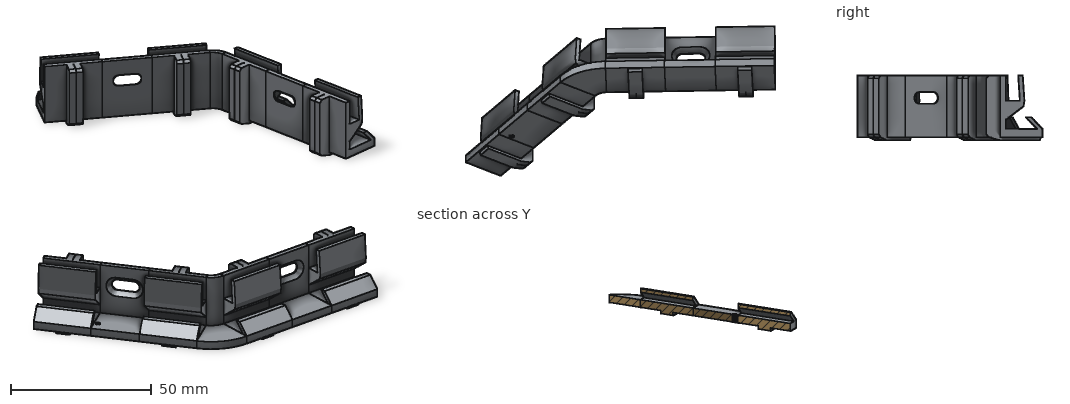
import cadquery as cq
import math


TURN_ANGLE = 54.28
BODY_DEPTH = 15.0
BODY_HEIGHT = 22.0
WALL = 2.0
FLOOR = 3.0
BEND_RADIUS = 5.0
CLIP_LENGTH = 21.0
PLATE_LENGTH = 18.0
PLATE_START = CLIP_LENGTH
ARM_LENGTH = 2 * CLIP_LENGTH + PLATE_LENGTH
CLIP_STARTS = (0.0, PLATE_START + PLATE_LENGTH)

FOOT_TIP_Z = 7.15
FOOT_TIP_REAR_Y = 11.0
FOOT_THICKNESS = 2.0

LEAF_THICKNESS = 1.7
LEAF_TOP_REAR_Y = 8.0
LEAF_ROOT_REAR_Y = 8.6
CHANNEL_FLOOR_Z = 13.0
BRACKET_REAR_Y = 8.3
BRACKET_REAR_Z = 11.0
BRACKET_ROOT_Z = 6.2

FIN_WIDTH = 5.0
FIN_REACH = 5.0
FIN_CHAMFER = 1.0
FIN_DROP = 1.12
FIN_REAR_Y = 14.5
FIN_REAR_BEVEL = 0.5
FIN_SLIT = 0.05

SLOT_LENGTH = 10.2
SLOT_WIDTH = 4.1
SLOT_Z = 14.0
SINK_WIDTH = 7.4
SINK_DEPTH = 1.65

RING_X = 37.5
RING_Y = 10.5
RING_RADIUS = 0.83
CORE_RADIUS = 0.4

L_PROFILE = [
    (0, 0),
    (BODY_DEPTH, 0),
    (BODY_DEPTH, FLOOR),
    (WALL, FLOOR),
    (WALL, BODY_HEIGHT),
    (0, BODY_HEIGHT),
]


def extrude_along_x(points, start, length):
    """Extrude a closed (y, z) outline along +X."""
    return cq.Workplane("YZ").workplane(offset=start).polyline(points).close().extrude(length)


def fin(center_x):
    """Upright fin with its underside rib, slit along its middle in front of the wall."""
    outline = [
        (WALL / 2, BODY_HEIGHT),
        (FIN_CHAMFER - FIN_REACH, BODY_HEIGHT),
        (-FIN_REACH, BODY_HEIGHT - FIN_CHAMFER),
        (-FIN_REACH, FIN_CHAMFER),
        (FIN_CHAMFER - FIN_REACH, 0),
        (0, -FIN_DROP),
        (FIN_REAR_Y - FIN_REAR_BEVEL, -FIN_DROP),
        (FIN_REAR_Y, 0),
        (WALL / 2, 0),
    ]
    slit = (
        cq.Workplane("XY")
        .box(FIN_SLIT, FIN_REACH, BODY_HEIGHT + FIN_DROP, centered=(True, False, False))
        .translate((center_x, -FIN_REACH, -FIN_DROP))
    )
    return extrude_along_x(outline, center_x - FIN_WIDTH / 2, FIN_WIDTH).cut(slit)


def clip_segment(start):
    """Clip: wall, floor, foot and spring leaf in one profile, plus a fin at mid length."""
    foot_tip_front_y = FOOT_TIP_REAR_Y - FOOT_THICKNESS
    outline = [
        (0, 0),
        (BODY_DEPTH, 0),
        (BODY_DEPTH, FLOOR),
        (FOOT_TIP_REAR_Y, FOOT_TIP_Z),
        (foot_tip_front_y, FOOT_TIP_Z),
        (BODY_DEPTH - FOOT_THICKNESS, FLOOR),
        (WALL, FLOOR),
        (WALL, BRACKET_ROOT_Z),
        (BRACKET_REAR_Y, BRACKET_REAR_Z),
        (LEAF_ROOT_REAR_Y, CHANNEL_FLOOR_Z),
        (LEAF_TOP_REAR_Y, BODY_HEIGHT),
        (LEAF_TOP_REAR_Y - LEAF_THICKNESS, BODY_HEIGHT),
        (LEAF_ROOT_REAR_Y - LEAF_THICKNESS, CHANNEL_FLOOR_Z),
        (WALL, CHANNEL_FLOOR_Z),
        (WALL, BODY_HEIGHT),
        (0, BODY_HEIGHT),
    ]
    return extrude_along_x(outline, start, CLIP_LENGTH).union(fin(start + CLIP_LENGTH / 2))


def slot_cutter():
    """Slot through the wall with a tapered countersink opening at the rear face."""
    growth = SINK_WIDTH - SLOT_WIDTH
    center = (ARM_LENGTH / 2, SLOT_Z)
    through = (
        cq.Workplane("XZ").center(*center).slot2D(SLOT_LENGTH, SLOT_WIDTH).extrude(-WALL)
    )
    sink = (
        cq.Workplane("XZ", origin=(0, WALL, 0))
        .center(*center)
        .slot2D(SLOT_LENGTH + growth, SINK_WIDTH)
        .extrude(SINK_DEPTH, taper=math.degrees(math.atan2(growth / 2, SINK_DEPTH)))
    )
    return through.union(sink)


def plate_segment():
    """Plain wall and floor between the clips, with the screw slot."""
    return extrude_along_x(L_PROFILE, PLATE_START, PLATE_LENGTH).cut(slot_cutter())


def floor_disc(radius):
    """Upright cylinder through the floor at the degree ring."""
    return cq.Workplane("XY").center(RING_X, RING_Y).circle(radius).extrude(FLOOR)


def corner():
    """Wall and floor swept round the bend axis at x = 0, y = -BEND_RADIUS."""
    return (
        cq.Workplane("YZ")
        .polyline(L_PROFILE)
        .close()
        .revolve(TURN_ANGLE, (-BEND_RADIUS, 0), (-BEND_RADIUS, 1))
    )


def to_second_arm(body):
    """Mirror a body of the first arm and turn it to the far side of the corner."""
    axis_start = (0, -BEND_RADIUS, 0)
    axis_end = (0, -BEND_RADIUS, 1)
    return body.mirror("YZ").rotate(axis_start, axis_end, TURN_ANGLE)


bend = corner()
degree_core = floor_disc(CORE_RADIUS)
plain_plate = plate_segment()
marked_plate = plain_plate.cut(floor_disc(RING_RADIUS))

bodies = [bend.val(), degree_core.val(), marked_plate.val(), to_second_arm(plain_plate).val()]
for clip_start in CLIP_STARTS:
    clip = clip_segment(clip_start)
    bodies.append(clip.val())
    bodies.append(to_second_arm(clip).val())

result = cq.Compound.makeCompound(bodies)